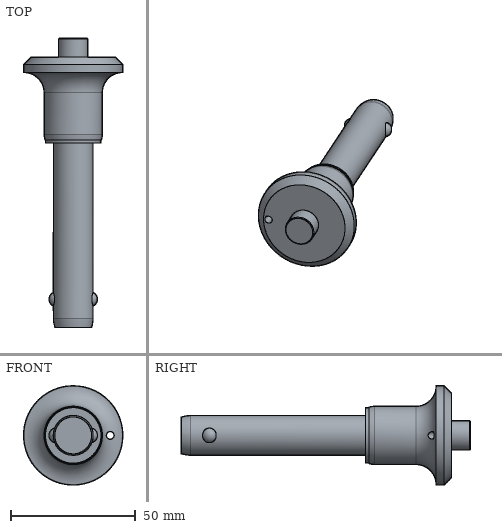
import cadquery as cq
import math

length = 116.2

head_radius = 20.0
body_radius = 11.7
shank_radius = 8.0
button_radius = 5.9
collar_radius = 11.2
body_end_radius = 11.4

tip_length = 3.7
shank_length = 74.0
collar_length = 1.4
body_round_length = 2.2
head_bottom = 102.4
head_rim_length = 3.3
head_chamfer = 3.0
button_edge = 0.3
flare_radius = 8.0

tip_round_radius = 11.6

ball_radius = 3.0
ball_reach = 9.8
ball_y = 11.4
hole_radius = 1.5
hole_x = 14.9


def barrel_drop(radius, distance):
    """Inward movement of an arc, at a distance along the axis from its tangent point."""
    return radius - math.sqrt(radius**2 - distance**2)


def make_turned_body():
    tip_radius = shank_radius - barrel_drop(tip_round_radius, tip_length)
    tip_middle = shank_radius - barrel_drop(tip_round_radius, tip_length / 2)
    body_start = shank_length + collar_length
    round_end = body_start + body_round_length
    round_drop = body_radius - body_end_radius
    body_round_radius = (body_round_length**2 + round_drop**2) / (2 * round_drop)
    round_middle = body_radius - barrel_drop(body_round_radius, body_round_length / 2)
    flare_inset = flare_radius * (1 - math.sqrt(0.5))
    rim_top = head_bottom + head_rim_length
    head_top = rim_top + head_chamfer

    profile = (
        cq.Workplane("XY")
        .lineTo(tip_radius, 0)
        .threePointArc((tip_middle, tip_length / 2), (shank_radius, tip_length))
        .lineTo(shank_radius, shank_length)
        .lineTo(collar_radius, shank_length)
        .lineTo(collar_radius, body_start)
        .lineTo(body_end_radius, body_start)
        .threePointArc((round_middle, body_start + body_round_length / 2), (body_radius, round_end))
        .lineTo(body_radius, head_bottom - flare_radius)
        .threePointArc(
            (body_radius + flare_inset, head_bottom - flare_inset),
            (body_radius + flare_radius, head_bottom),
        )
        .lineTo(head_radius, head_bottom)
        .lineTo(head_radius, rim_top)
        .lineTo(head_radius - head_chamfer, head_top)
        .lineTo(button_radius, head_top)
        .lineTo(button_radius, length - button_edge)
        .lineTo(button_radius - button_edge, length)
        .lineTo(0, length)
        .close()
    )
    return profile.revolve(360, (0, 0, 0), (0, 1, 0))


def add_locking_balls(pin):
    ball_x = ball_reach - ball_radius
    for side in (-1, 1):
        ball = cq.Workplane("XY").sphere(ball_radius).translate((side * ball_x, ball_y, 0))
        pin = pin.union(ball)
    return pin


def cut_lanyard_hole(pin):
    cutter = cq.Workplane("XZ").center(hole_x, 0).circle(hole_radius).extrude(-length)
    return pin.cut(cutter)


result = cut_lanyard_hole(add_locking_balls(make_turned_body()))